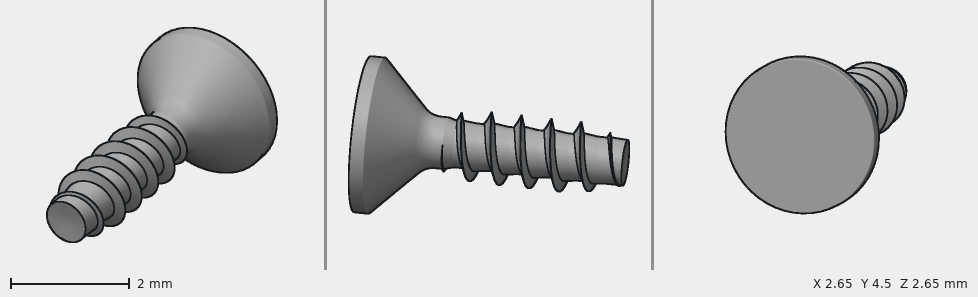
import cadquery as cq
import math

total_length = 4.5

head_radius = 1.325
rim_height = 0.248
rim_edge_round = 0.015

neck_radius = 0.44
neck_fillet_radius = 0.395
neck_end = -1.44
countersink_angle = math.radians(45)

core_radius = 0.39
core_taper_length = 0.175
dish_radius = 0.37
dish_depth = 0.04

thread_turns = 6
pitch = (total_length + neck_end) / thread_turns
crest_radius = 0.605
run_in_turns = 0.375
fade_in_turns = 1
fade_out_turns = 1.5
run_in_scale = 0.22
end_scale = 0.01
start_scale = 0.5
samples_per_turn = 24

crest_height = crest_radius - core_radius
head_foot_reach = 0.112
head_knee_height = 0.084
head_knee_reach = 0.06
crest_half_width = 0.004
ridge_height = 0.033
ridge_start_reach = -0.064
ridge_end_reach = -0.325
foot_sink = 0.004
thread_inner_radius = 0.30


def make_body():
    """Head, neck and core as one revolved body."""
    arc_drop = neck_fillet_radius * math.sin(countersink_angle)
    arc_start_radius = neck_radius + neck_fillet_radius * (1 - math.cos(countersink_angle))
    cone_end = -rim_height - (head_radius - arc_start_radius) / math.tan(countersink_angle)
    arc_end = cone_end - arc_drop

    half_angle = countersink_angle / 2
    arc_mid = (
        neck_radius + neck_fillet_radius * (1 - math.cos(half_angle)),
        arc_end + neck_fillet_radius * math.sin(half_angle),
    )
    body = (
        cq.Workplane("XY")
        .moveTo(0, 0)
        .lineTo(head_radius, 0)
        .lineTo(head_radius, -rim_height)
        .lineTo(arc_start_radius, cone_end)
        .threePointArc(arc_mid, (neck_radius, arc_end))
        .lineTo(neck_radius, neck_end)
        .lineTo(core_radius, neck_end - core_taper_length)
        .lineTo(core_radius, -total_length)
        .lineTo(0, -total_length)
        .close()
        .revolve(360, (0, 0, 0), (0, 1, 0))
    )
    rim_box = cq.selectors.BoxSelector(
        (-2 * head_radius, -rim_height - rim_edge_round, -2 * head_radius),
        (2 * head_radius, rim_edge_round, 2 * head_radius),
        boundingbox=True,
    )
    return body.edges("%CIRCLE").edges(rim_box).fillet(rim_edge_round)


def thread_scale(turn):
    """Fraction of the full thread height, rising after the neck and fading to the tip."""
    if turn < 0:
        return start_scale + (start_scale - run_in_scale) * turn / run_in_turns
    rising = start_scale + (1 - start_scale) * turn / fade_in_turns
    falling = end_scale + (1 - end_scale) * (thread_turns - turn) / fade_out_turns
    return min(rising, 1, falling)


def thread_section(turn):
    """(radius, axial reach) corners of the thread section at one turn position."""
    scale = thread_scale(turn)
    foot_radius = core_radius - foot_sink

    def corner(height, reach):
        return (foot_radius + scale * (height + foot_sink), scale * reach)

    return [
        (thread_inner_radius, head_foot_reach),
        (foot_radius, scale * head_foot_reach),
        corner(head_knee_height, head_knee_reach),
        corner(crest_height, crest_half_width),
        corner(crest_height, -crest_half_width),
        corner(ridge_height, ridge_start_reach),
        (foot_radius, ridge_end_reach),
        (thread_inner_radius, ridge_end_reach),
    ]


def section_points(turn):
    """Section corners in space; turn 0 lies at -Z, and the run-in before it stays level."""
    angle = 2 * math.pi * turn
    axial = neck_end - pitch * max(turn, 0)
    return [
        cq.Vector(radius * math.sin(angle), axial + reach, -radius * math.cos(angle))
        for radius, reach in thread_section(turn)
    ]


def helical_faces(first_turn, last_turn):
    """Ruled side faces of the thread between two turn positions."""
    steps = math.ceil((last_turn - first_turn) * samples_per_turn)
    turn_step = (last_turn - first_turn) / steps
    sections = [section_points(first_turn + step * turn_step) for step in range(steps + 1)]
    curves = [cq.Edge.makeSpline(list(corner_path)) for corner_path in zip(*sections)]
    return [
        cq.Face.makeRuledSurface(curve, curves[(index + 1) % len(curves)])
        for index, curve in enumerate(curves)
    ]


def end_face(turn):
    """Flat face closing the thread at one turn position."""
    return cq.Face.makeFromWires(cq.Wire.makePolygon(section_points(turn), close=True))


def make_thread():
    """Right-handed thread in stretches: level run-in, rise, full height and fade-out."""
    stretch_ends = [-run_in_turns, 0, fade_in_turns, thread_turns - fade_out_turns, thread_turns]
    faces = [end_face(stretch_ends[0]), end_face(stretch_ends[-1])]
    for first_turn, last_turn in zip(stretch_ends, stretch_ends[1:]):
        faces += helical_faces(first_turn, last_turn)
    thread = cq.Solid.makeSolid(cq.Shell.makeShell(faces))

    length_limit = cq.Workplane("XZ").circle(head_radius).extrude(total_length)
    return length_limit.intersect(cq.Workplane(obj=thread.fix()))


def make_dish():
    """Shallow conical hollow in the tip."""
    return (
        cq.Workplane("XY")
        .moveTo(0, -total_length)
        .lineTo(dish_radius, -total_length)
        .lineTo(0, -total_length + dish_depth)
        .close()
        .revolve(360, (0, 0, 0), (0, 1, 0))
    )


result = make_body().union(make_thread()).cut(make_dish()).solids()